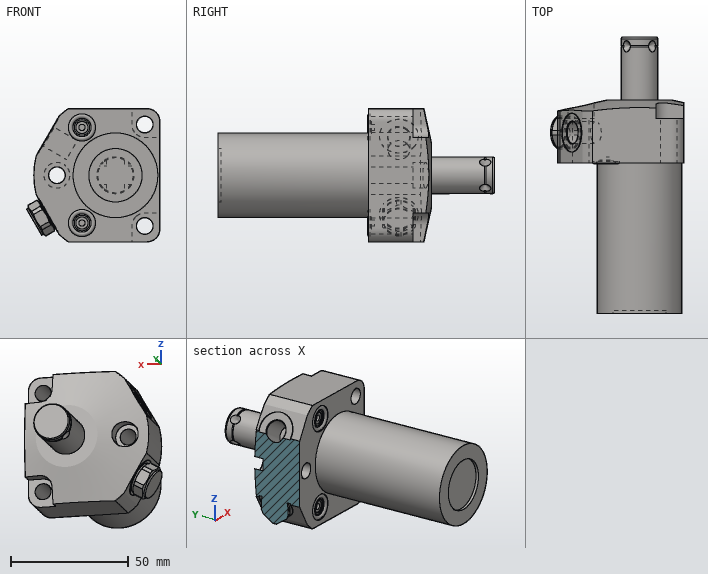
import cadquery as cq
import math


FLANGE_THICKNESS = 27.0
FLANGE_HALF_HEIGHT = 28.5
FLANGE_RIGHT = 19.0
FLANGE_RADIUS = 34.9
FLANGE_CORNER_RADIUS = 5.6
PORT_FLAT_DISTANCE = 33.5
PORT_FLAT_ANGLE = 30.0
CROWN_RADIUS = 13.6
CROWN_ANGLE = 12.5

BARREL_RADIUS = 18.1
BARREL_LENGTH = 64.25
BARREL_RECESS_RADIUS = 11.4
BARREL_RECESS_DEPTH = 1.3

ROD_RADIUS = 7.9
ROD_LENGTH = 26.85
ROD_CHAMFER_LENGTH = 0.8
ROD_CHAMFER_DEPTH = 0.4
ROD_GROOVE_FROM_END = 4.0
ROD_GROOVE_RADIUS = 0.3
ROD_DIMPLE_RADIUS = 2.4
ROD_DIMPLE_COUNT = 4

BOLT_CIRCLE_RADIUS = 25.0
BOLT_HOLE_RADIUS = 3.5
BOLT_ANGLES = (60.0, 180.0, 300.0)
BOLT_SEAT_HEIGHT = 19.1
BOLT_SEAT_RADIUS = 5.5

PORT_FROM_FACE = 13.0
PORT_SPOTFACE_RADIUS = 8.3
PORT_SPOTFACE_DEPTH = 0.3
PORT_RADIUS = 4.65
PORT_CHAMFER = 0.3
PORT_DEPTH = 11.7

PLUG_END_DISTANCE = 40.1
PLUG_SIDES = 6
PLUG_ACROSS_FLATS = 14.0
PLUG_CORNER_RADIUS = 7.6
PLUG_END_RADIUS = 6.5
PLUG_END_DISC_HEIGHT = 0.8
PLUG_END_CHAMFER = 0.6
PLUG_SEAT_RADIUS = 6.9
PLUG_SEAT_HEIGHT = 0.8
PLUG_SEAT_CHAMFER = 0.4

FACE_PORT_X = -14.3
FACE_PORT_Z = 20.4
ORING_MEAN_RADIUS = 4.85
ORING_WIRE_RADIUS = 0.95
ORING_PROTRUSION = 0.35
ORING_SEAT_DEPTH = 0.7
FACE_PORT_STEPS = ((3.3, 0.9), (2.6, 1.3), (1.35, 2.5))


def cylinder(radius, length, origin, direction):
    return cq.Workplane(cq.Solid.makeCylinder(radius, length, cq.Vector(*origin), cq.Vector(*direction)))


def revolve_about_y(points):
    """Closed (radius, y) polyline turned about the ram axis."""
    return cq.Workplane("XY").polyline(points).close().revolve(360, (0, 0, 0), (0, 1, 0))


def port_normal(side):
    """Outward direction of a slanted port flat; side is +1 for upper, -1 for lower."""
    angle = math.radians(PORT_FLAT_ANGLE)
    return (-math.cos(angle), 0, side * math.sin(angle))


def port_plane(side, distance):
    """Plane on a port axis, square to it, at a distance from the ram axis."""
    nx, _, nz = port_normal(side)
    origin = (nx * distance, PORT_FROM_FACE, nz * distance)
    return cq.Plane(origin=origin, xDir=(0, 1, 0), normal=(nx, 0, nz))


def make_flange():
    width = FLANGE_RADIUS + FLANGE_RIGHT
    height = 2 * FLANGE_HALF_HEIGHT
    block = cq.Workplane("XY").box(width, FLANGE_THICKNESS, height, centered=(False, False, True))
    block = block.translate((-FLANGE_RADIUS, 0, 0))
    block = block.edges("|Y and >X").fillet(FLANGE_CORNER_RADIUS)
    for side in (1, -1):
        plane = port_plane(side, PORT_FLAT_DISTANCE)
        block = block.cut(cq.Workplane(plane).rect(2 * width, 2 * height).extrude(width))
    fall = (FLANGE_RADIUS - CROWN_RADIUS) * math.tan(math.radians(CROWN_ANGLE))
    envelope = revolve_about_y([
        (0, 0),
        (FLANGE_RADIUS, 0),
        (FLANGE_RADIUS, FLANGE_THICKNESS - fall),
        (CROWN_RADIUS, FLANGE_THICKNESS),
        (0, FLANGE_THICKNESS),
    ])
    return block.intersect(envelope)


def make_barrel():
    barrel = cylinder(BARREL_RADIUS, BARREL_LENGTH, (0, 0, 0), (0, -1, 0))
    recess = cylinder(BARREL_RECESS_RADIUS, BARREL_RECESS_DEPTH, (0, -BARREL_LENGTH, 0), (0, 1, 0))
    return barrel.cut(recess)


def make_rod():
    end = FLANGE_THICKNESS + ROD_LENGTH
    groove_y = end - ROD_GROOVE_FROM_END
    rod = revolve_about_y([
        (0, FLANGE_THICKNESS),
        (ROD_RADIUS, FLANGE_THICKNESS),
        (ROD_RADIUS, end - ROD_CHAMFER_LENGTH),
        (ROD_RADIUS - ROD_CHAMFER_DEPTH, end),
        (0, end),
    ])
    groove = cq.Solid.makeTorus(ROD_RADIUS, ROD_GROOVE_RADIUS, cq.Vector(0, groove_y, 0), cq.Vector(0, 1, 0))
    rod = rod.cut(cq.Workplane(groove))
    mouth = 2 * ROD_DIMPLE_RADIUS
    apex_distance = ROD_RADIUS - ROD_DIMPLE_RADIUS
    for index in range(ROD_DIMPLE_COUNT):
        angle = math.radians((index + 0.5) * 360 / ROD_DIMPLE_COUNT)
        outward = cq.Vector(math.cos(angle), 0, math.sin(angle))
        apex = cq.Vector(0, groove_y, 0) + outward * apex_distance
        rod = rod.cut(cq.Workplane(cq.Solid.makeCone(0, mouth, mouth, apex, outward)))
    return rod


def bolt_position(angle):
    x = BOLT_CIRCLE_RADIUS * math.cos(math.radians(angle))
    z = BOLT_CIRCLE_RADIUS * math.sin(math.radians(angle))
    return x, z


def cut_bolt_holes(body):
    for angle in BOLT_ANGLES:
        x, z = bolt_position(angle)
        body = body.cut(cylinder(BOLT_HOLE_RADIUS, FLANGE_THICKNESS, (x, 0, z), (0, 1, 0)))
        counterbore = cylinder(BOLT_SEAT_RADIUS, FLANGE_THICKNESS, (x, BOLT_SEAT_HEIGHT, z), (0, 1, 0))
        body = body.cut(counterbore)
    return body


def cut_corner_pockets(body):
    """Corner pockets that open the two right-hand counterbores to the outside."""
    x, z = bolt_position(BOLT_ANGLES[0])
    size = FLANGE_HALF_HEIGHT
    pocket = cq.Workplane("XY").box(size, FLANGE_THICKNESS, size, centered=False)
    pocket = pocket.edges("|Y and <X and <Z").fillet(BOLT_SEAT_RADIUS)
    pocket = pocket.translate((x - BOLT_SEAT_RADIUS, BOLT_SEAT_HEIGHT, z - BOLT_SEAT_RADIUS))
    return body.cut(pocket).cut(pocket.mirror("XY"))


def cut_ports(body):
    floor = PORT_FLAT_DISTANCE - PORT_SPOTFACE_DEPTH
    for side in (1, -1):
        plane = port_plane(side, floor)
        body = body.cut(cq.Workplane(plane).circle(PORT_SPOTFACE_RADIUS).extrude(FLANGE_RADIUS - floor))
    plane = port_plane(1, floor)
    bore = cq.Workplane(plane).circle(PORT_RADIUS).extrude(-PORT_DEPTH)
    countersink = cq.Workplane(plane).circle(PORT_RADIUS + PORT_CHAMFER).extrude(-PORT_CHAMFER, taper=45)
    return body.cut(bore).cut(countersink)


def make_plug():
    floor = PORT_FLAT_DISTANCE - PORT_SPOTFACE_DEPTH
    height = PLUG_END_DISTANCE - floor
    plane = port_plane(-1, floor)
    half_side_angle = 180 / PLUG_SIDES
    across_corners = PLUG_ACROSS_FLATS / math.cos(math.radians(half_side_angle))
    hexagon = cq.Workplane(plane).transformed(rotate=(0, 0, half_side_angle))
    hexagon = hexagon.polygon(PLUG_SIDES, across_corners).extrude(height)
    turned = (
        cq.Workplane("XZ")
        .polyline([
            (0, 0),
            (PLUG_SEAT_RADIUS, 0),
            (PLUG_SEAT_RADIUS, PLUG_SEAT_HEIGHT),
            (PLUG_CORNER_RADIUS, PLUG_SEAT_HEIGHT + PLUG_SEAT_CHAMFER),
            (PLUG_CORNER_RADIUS, height - PLUG_END_DISC_HEIGHT - PLUG_END_CHAMFER),
            (PLUG_END_RADIUS, height - PLUG_END_DISC_HEIGHT),
            (PLUG_END_RADIUS, height),
            (0, height),
        ])
        .close()
        .revolve(360, (0, 0, 0), (0, 1, 0))
    )
    turned = cq.Workplane(turned.val().located(cq.Location(plane)))
    return hexagon.intersect(turned)


def cut_face_port(body, z):
    outer = ORING_MEAN_RADIUS + ORING_WIRE_RADIUS
    origin = (FACE_PORT_X, 0, z)
    body = body.cut(cylinder(outer, ORING_SEAT_DEPTH, origin, (0, 1, 0)))
    for radius, depth in FACE_PORT_STEPS:
        body = body.cut(cylinder(radius, depth, origin, (0, 1, 0)))
    center = cq.Vector(FACE_PORT_X, ORING_WIRE_RADIUS - ORING_PROTRUSION, z)
    ring = cq.Solid.makeTorus(ORING_MEAN_RADIUS, ORING_WIRE_RADIUS, center, cq.Vector(0, 1, 0))
    return body.union(cq.Workplane(ring))


body = make_flange()
body = cut_corner_pockets(body)
body = cut_bolt_holes(body)
body = cut_ports(body)
body = body.union(make_plug())
for face_port_z in (FACE_PORT_Z, -FACE_PORT_Z):
    body = cut_face_port(body, face_port_z)
result = body.union(make_barrel()).union(make_rod())